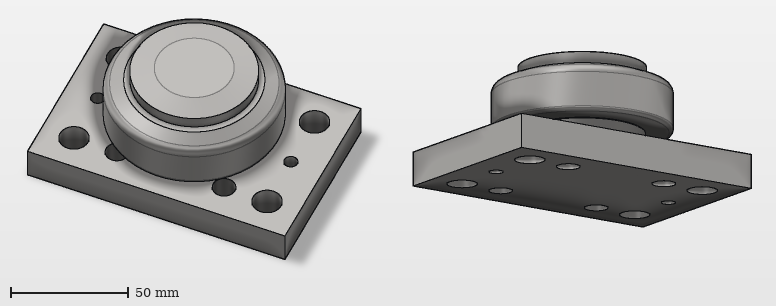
import cadquery as cq
import math

plate_length = 120.0
plate_width = 80.0
plate_thickness = 15.0

corner_hole_diameter = 13.0
inner_hole_diameter = 10.1
pin_hole_diameter = 6.0
outer_hole_x = 45.0
inner_hole_x = 25.0
hole_row_y = 25.0

neck_radius = 54.0 / 2
neck_height = 9.0
relief_radius = 26.4
relief_height = 0.4

roller_radius = 77.8 / 2
roller_height = 23.0
lower_rounding = 1.8
roller_rounding = 4.2
shoulder_angle = math.radians(20)
shoulder_inner_radius = 30.1

cap_radius = 55.0 / 2
cap_flat_radius = 17.0
cap_cone_height = 1.8
cap_gap = 0.4
stem_radius = 21.6
total_height = 54.5

roller_bottom = plate_thickness + neck_height
neck_bottom = plate_thickness + relief_height
neck_top = roller_bottom - relief_height
roller_top = roller_bottom + roller_height
cap_bottom = roller_top + cap_gap
cap_edge_top = total_height - cap_cone_height


def four_corners(x, y):
    return [(sign_x * x, sign_y * y) for sign_x in (-1, 1) for sign_y in (-1, 1)]


def hole_cutters(diameter, centers):
    """Cylinders as tall as the plate is thick, one at each center."""
    return cq.Workplane("XY").pushPoints(centers).circle(diameter / 2).extrude(plate_thickness)


def make_plate():
    plate = cq.Workplane("XY").box(
        plate_length, plate_width, plate_thickness, centered=(True, True, False)
    )
    corner_holes = hole_cutters(corner_hole_diameter, four_corners(outer_hole_x, hole_row_y))
    inner_holes = hole_cutters(inner_hole_diameter, four_corners(inner_hole_x, hole_row_y))
    pin_holes = hole_cutters(pin_hole_diameter, [(-outer_hole_x, 0), (outer_hole_x, 0)])
    return plate.cut(corner_holes).cut(inner_holes).cut(pin_holes)


def make_stack():
    """Revolve the neck, roller and cap as one profile about the Z axis."""
    round_center_r = roller_radius - roller_rounding
    round_end_r = round_center_r + roller_rounding * math.sin(shoulder_angle)
    shoulder_rise = (round_end_r - shoulder_inner_radius) * math.tan(shoulder_angle)
    round_end_z = roller_top - shoulder_rise
    round_start_z = round_end_z - roller_rounding * math.cos(shoulder_angle)
    mid_angle = (math.pi / 2 - shoulder_angle) / 2
    round_middle = (
        round_center_r + roller_rounding * math.cos(mid_angle),
        round_start_z + roller_rounding * math.sin(mid_angle),
    )
    profile = (
        cq.Workplane("XZ")
        .moveTo(0, plate_thickness)
        .lineTo(relief_radius, plate_thickness)
        .lineTo(relief_radius, neck_bottom)
        .lineTo(neck_radius, neck_bottom)
        .lineTo(neck_radius, neck_top)
        .lineTo(relief_radius, neck_top)
        .lineTo(relief_radius, roller_bottom)
        .lineTo(roller_radius - lower_rounding, roller_bottom)
        .radiusArc((roller_radius, roller_bottom + lower_rounding), -lower_rounding)
        .lineTo(roller_radius, round_start_z)
        .threePointArc(round_middle, (round_end_r, round_end_z))
        .lineTo(shoulder_inner_radius, roller_top)
        .lineTo(stem_radius, roller_top)
        .lineTo(stem_radius, cap_bottom)
        .lineTo(cap_radius, cap_bottom)
        .lineTo(cap_radius, cap_edge_top)
        .lineTo(cap_flat_radius, total_height)
        .lineTo(0, total_height)
        .close()
    )
    return profile.revolve(360, (0, 0, 0), (0, 1, 0))


result = make_plate().union(make_stack())